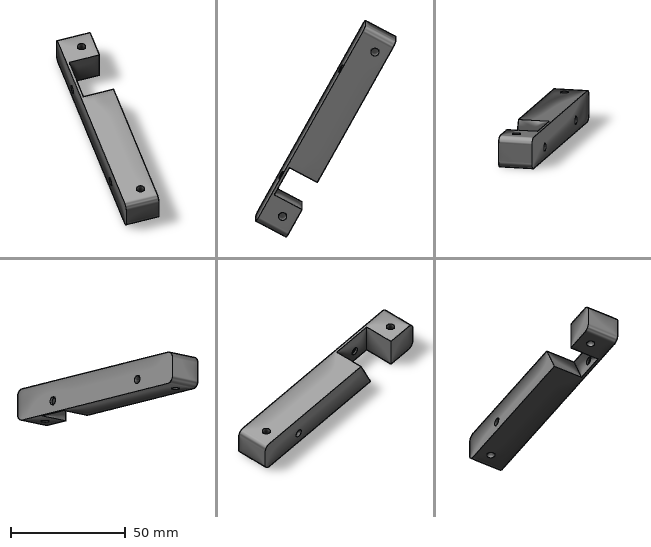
import cadquery as cq

length = 100
depth = 15
height = 14
corner_radius = 3

front_wall = 1.2
notch_start = 14.8
notch_end_bottom = 28.6
notch_end_top = 35

hole_diameter = 3.5
front_hole_spacing = 54.4
front_hole_height = 5.2
vertical_hole_spacing = 84
vertical_hole_depth = 9


def drill_pair(workplane, spacing, center_x, offset, through):
    """Two cylinders placed symmetrically about center_x."""
    points = [(center_x + side * spacing / 2, offset) for side in (-1, 1)]
    return workplane.pushPoints(points).circle(hole_diameter / 2).extrude(through)


bar = cq.Workplane("XY").box(length, depth, height, centered=False)
bar = bar.edges("|Y").fillet(corner_radius)

notch = (
    cq.Workplane("XZ", origin=(0, depth, 0))
    .polyline([(notch_start, 0), (notch_end_bottom, 0), (notch_end_top, height), (notch_start, height)])
    .close()
    .extrude(depth - front_wall)
)

front_holes = drill_pair(
    cq.Workplane("XZ", origin=(0, depth, 0)), front_hole_spacing, length / 2, front_hole_height, depth
)
vertical_holes = drill_pair(
    cq.Workplane("XY"), vertical_hole_spacing, length / 2, vertical_hole_depth, height
)

result = bar.cut(notch).cut(front_holes).cut(vertical_holes)